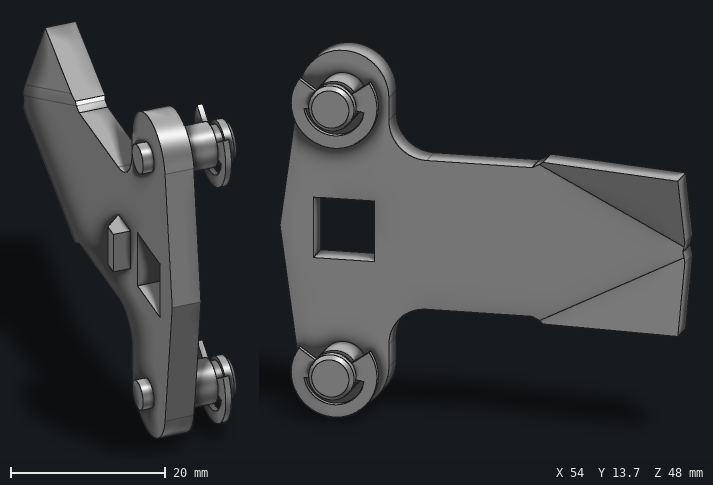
import cadquery as cq
import math


PLATE_THICKNESS = 4.0
LOBE_RADIUS = 6.0
STUD_OFFSET = 18.0
NOSE_X = 8.5
NECK_HALF_WIDTH = 10.0
NECK_FILLET = 5.0
WINDOW_SIZE = 8.1

OVERALL_LENGTH = 53.95
END_X = NOSE_X - OVERALL_LENGTH
NOTCH_DEPTH = 0.3
NOTCH_HALF_WIDTH = 1.35
WING_CORNER_X = END_X + 0.15
WING_CORNER_Z = 10.4
SHOULDER_X = -26.55
SHOULDER_Z = 10.85
BEND_END_X = -26.0
BEND_END_Z = 10.45
NECK_START_X = -25.05
BEND_START_Z = 0.8
BEND_ANGLE = 21.0
WING_REACH = 16.2
WING_MAX_Y = 10.8

TOOTH_HEIGHT = 2.4
TOOTH_WIDTH = 5.7
TOOTH_BACK_X = -6.5
TOOTH_CREST = 2.0
TOOTH_RAMP = 2.3

STUD_RADIUS = 3.0
STUD_LENGTH = 7.25
STUD_CHAMFER = 0.55
GROOVE_RADIUS = 2.5
GROOVE_START = 4.5
GROOVE_WIDTH = 1.15
TAIL_RADIUS = 2.0
TAIL_LENGTH = 1.5

CLIP_THICKNESS = 0.8
CLIP_RADIUS = 5.7
CLIP_RELIEF_RADIUS = 4.05
MOUTH_ANGLE = 35.0
JAW_END_ANGLE = -10.0

SIDES = (1, -1)


def polar(radius, degrees):
    """Point on a circle about the origin."""
    angle = math.radians(degrees)
    return (radius * math.cos(angle), radius * math.sin(angle))


def front_sketch(y):
    """Workplane at depth y with local x = X, local y = Z; positive extrusion runs toward -Y."""
    return cq.Workplane("XZ", origin=(0, y, 0))


def make_head():
    """Neck and two lobes, up to the place where the wings begin."""
    reach = math.hypot(NOSE_X, STUD_OFFSET)
    tangent_angle = math.degrees(math.acos(LOBE_RADIUS / reach) - math.atan2(STUD_OFFSET, NOSE_X))
    tangent_x, tangent_rise = polar(LOBE_RADIUS, tangent_angle)
    tangent_z = STUD_OFFSET + tangent_rise
    top = STUD_OFFSET + LOBE_RADIUS
    fillet_x = -LOBE_RADIUS - NECK_FILLET
    fillet_z = NECK_HALF_WIDTH + NECK_FILLET
    fillet_dx, fillet_dz = polar(NECK_FILLET, -45)
    fillet_mid = (fillet_x + fillet_dx, fillet_z + fillet_dz)

    def below(point):
        return (point[0], -point[1])

    fillet_start = (fillet_x, NECK_HALF_WIDTH)
    fillet_end = (-LOBE_RADIUS, fillet_z)
    lobe_start = (-LOBE_RADIUS, STUD_OFFSET)
    lobe_end = (tangent_x, tangent_z)
    outline = (
        front_sketch(0)
        .moveTo(NECK_START_X, NECK_HALF_WIDTH)
        .lineTo(*fillet_start)
        .threePointArc(fillet_mid, fillet_end)
        .lineTo(*lobe_start)
        .threePointArc((0, top), lobe_end)
        .lineTo(NOSE_X, 0)
        .lineTo(*below(lobe_end))
        .threePointArc((0, -top), below(lobe_start))
        .lineTo(*below(fillet_end))
        .threePointArc(below(fillet_mid), below(fillet_start))
        .lineTo(NECK_START_X, -NECK_HALF_WIDTH)
        .close()
    )
    window = front_sketch(0).rect(WINDOW_SIZE, WINDOW_SIZE).extrude(PLATE_THICKNESS)
    return outline.extrude(PLATE_THICKNESS).cut(window)


def make_winged_end():
    """Flat middle with both wings bent toward +Y along slanted lines, trimmed to one outline."""
    upper_edge = [
        (END_X, NOTCH_HALF_WIDTH),
        (WING_CORNER_X, WING_CORNER_Z),
        (SHOULDER_X, SHOULDER_Z),
        (BEND_END_X, BEND_END_Z),
        (NECK_START_X, NECK_HALF_WIDTH),
    ]
    lower_edge = [(x, -z) for x, z in reversed(upper_edge)]
    notch_root = (END_X + NOTCH_DEPTH, 0)
    trim = (
        front_sketch(-PLATE_THICKNESS)
        .polyline([notch_root] + upper_edge + lower_edge)
        .close()
        .extrude(-PLATE_THICKNESS - WING_MAX_Y)
    )

    slope = math.atan2(BEND_END_Z - BEND_START_Z, BEND_END_X - notch_root[0])
    apex_x = BEND_END_X - BEND_END_Z / math.tan(slope)
    stock = (
        front_sketch(0)
        .polyline([
            (apex_x, 0),
            (BEND_END_X, BEND_END_Z),
            (NECK_START_X, NECK_HALF_WIDTH),
            (NECK_START_X, -NECK_HALF_WIDTH),
            (BEND_END_X, -BEND_END_Z),
        ])
        .close()
        .extrude(PLATE_THICKNESS)
    )
    wing = make_wing_blank(apex_x, slope)
    return stock.union(wing).union(wing.mirror("XY")).intersect(trim)


def make_wing_blank(apex_x, slope):
    """Untrimmed upper wing: a section bent about its back face, swept along the bend line."""
    bend = math.radians(BEND_ANGLE)
    leg_x = WING_REACH * math.cos(bend)
    leg_y = WING_REACH * math.sin(bend)
    heel_x, heel_y = polar(PLATE_THICKNESS, BEND_ANGLE - 90)
    heel_mid = polar(PLATE_THICKNESS, BEND_ANGLE / 2 - 90)
    length = math.hypot(SHOULDER_X - apex_x, SHOULDER_Z) + WING_REACH

    section_plane = cq.Plane(
        origin=(apex_x, 0, 0),
        xDir=(-math.sin(slope), 0, math.cos(slope)),
        normal=(-math.cos(slope), 0, -math.sin(slope)),
    )
    return (
        cq.Workplane(section_plane)
        .lineTo(0, -PLATE_THICKNESS)
        .threePointArc(heel_mid, (heel_x, heel_y))
        .lineTo(heel_x + leg_x, heel_y + leg_y)
        .lineTo(leg_x, leg_y)
        .close()
        .extrude(-length)
    )


def make_tooth():
    """Ramped tooth standing on the front face."""
    crest_x = TOOTH_BACK_X - TOOTH_CREST
    crest_y = -PLATE_THICKNESS - TOOTH_HEIGHT
    return (
        cq.Workplane("XY", origin=(0, 0, -TOOTH_WIDTH / 2))
        .polyline([
            (TOOTH_BACK_X, -PLATE_THICKNESS),
            (TOOTH_BACK_X, crest_y),
            (crest_x, crest_y),
            (crest_x - TOOTH_RAMP, -PLATE_THICKNESS),
        ])
        .close()
        .extrude(TOOTH_WIDTH)
    )


def make_stud(z):
    """Grooved stud behind the plate with its smaller tail in front, turned about an axis along Y."""
    groove_end = GROOVE_START + GROOVE_WIDTH
    return (
        cq.Workplane("XY")
        .polyline([
            (0, -PLATE_THICKNESS - TAIL_LENGTH),
            (TAIL_RADIUS, -PLATE_THICKNESS - TAIL_LENGTH),
            (TAIL_RADIUS, -PLATE_THICKNESS / 2),
            (STUD_RADIUS, -PLATE_THICKNESS / 2),
            (STUD_RADIUS, GROOVE_START),
            (GROOVE_RADIUS, GROOVE_START),
            (GROOVE_RADIUS, groove_end),
            (STUD_RADIUS, groove_end),
            (STUD_RADIUS, STUD_LENGTH - STUD_CHAMFER),
            (STUD_RADIUS - STUD_CHAMFER, STUD_LENGTH),
            (0, STUD_LENGTH),
        ])
        .close()
        .revolve(360, (0, 0), (0, 1))
        .translate((0, 0, z))
    )


def make_lever():
    """Lever plate with its wings, tooth and fixed studs, all one solid."""
    body = make_head().union(make_winged_end()).union(make_tooth())
    for side in SIDES:
        body = body.union(make_stud(side * STUD_OFFSET))
    return body


def make_clip(z):
    """Retaining clip open toward +Z: two jaws grip the groove, the rest stands clear of the stud."""
    mouth_left = 180 - MOUTH_ANGLE
    jaw_end_left = 180 - JAW_END_ANGLE
    jaw_middle = (MOUTH_ANGLE + JAW_END_ANGLE) / 2
    return (
        front_sketch(GROOVE_START)
        .moveTo(*polar(CLIP_RADIUS, MOUTH_ANGLE))
        .threePointArc((0, -CLIP_RADIUS), polar(CLIP_RADIUS, mouth_left))
        .lineTo(*polar(GROOVE_RADIUS, mouth_left))
        .threePointArc(polar(GROOVE_RADIUS, 180 - jaw_middle), polar(GROOVE_RADIUS, jaw_end_left))
        .lineTo(*polar(CLIP_RELIEF_RADIUS, jaw_end_left))
        .threePointArc((0, -CLIP_RELIEF_RADIUS), polar(CLIP_RELIEF_RADIUS, JAW_END_ANGLE))
        .lineTo(*polar(GROOVE_RADIUS, JAW_END_ANGLE))
        .threePointArc(polar(GROOVE_RADIUS, jaw_middle), polar(GROOVE_RADIUS, MOUTH_ANGLE))
        .close()
        .extrude(-CLIP_THICKNESS)
        .translate((0, 0, z))
    )


lever = make_lever()
clips = [make_clip(side * STUD_OFFSET) for side in SIDES]

result = cq.Compound.makeCompound([lever.val(), *[clip.val() for clip in clips]])